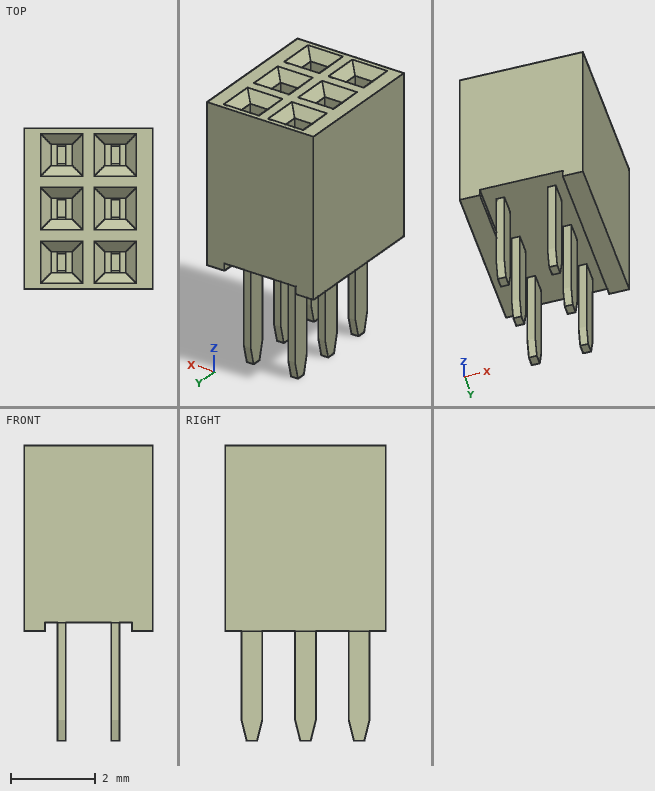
import cadquery as cq

PITCH = 1.27
COLUMNS = 2
ROWS = 3

HOUSING_X = 3.05
HOUSING_Y = ROWS * PITCH
HOUSING_HEIGHT = 4.4
FOOT_HEIGHT = 0.2
FOOT_WIDTH = 0.5

MOUTH_SIDE = 1.0
SHAFT_SIDE = 0.5
MOUTH_DEPTH = (MOUTH_SIDE - SHAFT_SIDE) / 2
SHAFT_FLOOR_Z = 1.2

GROOVE_TOP_LENGTH = SHAFT_SIDE
GROOVE_FLOOR_LENGTH = 0.41
GROOVE_DEPTH = (GROOVE_TOP_LENGTH - GROOVE_FLOOR_LENGTH) / 2

PIN_THICKNESS = 0.2
PIN_WIDTH = 0.5
PIN_LENGTH = 2.6
PIN_TIP_WIDTH = 0.25
PIN_TIP_LENGTH = 0.5


def grid_positions():
    """Centres of the contacts in X and Y."""
    return [
        ((column - (COLUMNS - 1) / 2) * PITCH, (row - (ROWS - 1) / 2) * PITCH)
        for column in range(COLUMNS)
        for row in range(ROWS)
    ]


def box_on(x, y, bottom_z, size_x, size_y, height):
    """Upright box centred on (x, y) and standing on bottom_z."""
    box = cq.Workplane("XY").box(size_x, size_y, height, centered=(True, True, False))
    return box.translate((x, y, bottom_z))


def make_housing():
    """Block with a full-length channel between its two feet."""
    block = box_on(0, 0, 0, HOUSING_X, HOUSING_Y, HOUSING_HEIGHT)
    channel = box_on(0, 0, 0, HOUSING_X - 2 * FOOT_WIDTH, HOUSING_Y, FOOT_HEIGHT)
    return block.cut(channel)


def make_socket(x, y):
    """Cavity of one socket: tapered mouth and square shaft."""
    mouth = (
        cq.Workplane("XY", origin=(x, y, HOUSING_HEIGHT))
        .rect(MOUTH_SIDE, MOUTH_SIDE)
        .workplane(offset=-MOUTH_DEPTH)
        .rect(SHAFT_SIDE, SHAFT_SIDE)
        .loft(ruled=True)
    )
    shaft_height = HOUSING_HEIGHT - MOUTH_DEPTH - SHAFT_FLOOR_Z
    shaft = box_on(x, y, SHAFT_FLOOR_Z, SHAFT_SIDE, SHAFT_SIDE, shaft_height)
    return mouth.union(shaft)


def make_groove(x, y):
    """Groove cutter, as wide as the pin is thick and narrowing downward along Y."""
    return (
        cq.Workplane("YZ")
        .moveTo(-GROOVE_TOP_LENGTH / 2, 0)
        .lineTo(-GROOVE_FLOOR_LENGTH / 2, -GROOVE_DEPTH)
        .lineTo(GROOVE_FLOOR_LENGTH / 2, -GROOVE_DEPTH)
        .lineTo(GROOVE_TOP_LENGTH / 2, 0)
        .close()
        .extrude(PIN_THICKNESS / 2, both=True)
        .translate((x, y, SHAFT_FLOOR_Z))
    )


def make_pin(x, y):
    """Flat solder pin with a tapered tip, rooted in the shaft floor."""
    tip_z = -PIN_LENGTH
    shoulder_z = tip_z + PIN_TIP_LENGTH
    return (
        cq.Workplane("YZ")
        .moveTo(-PIN_WIDTH / 2, SHAFT_FLOOR_Z)
        .lineTo(-PIN_WIDTH / 2, shoulder_z)
        .lineTo(-PIN_TIP_WIDTH / 2, tip_z)
        .lineTo(PIN_TIP_WIDTH / 2, tip_z)
        .lineTo(PIN_WIDTH / 2, shoulder_z)
        .lineTo(PIN_WIDTH / 2, SHAFT_FLOOR_Z)
        .close()
        .extrude(PIN_THICKNESS / 2, both=True)
        .translate((x, y, 0))
    )


result = make_housing()
for contact_x, contact_y in grid_positions():
    result = result.cut(make_socket(contact_x, contact_y))
    result = result.union(make_pin(contact_x, contact_y))
    result = result.cut(make_groove(contact_x, contact_y))